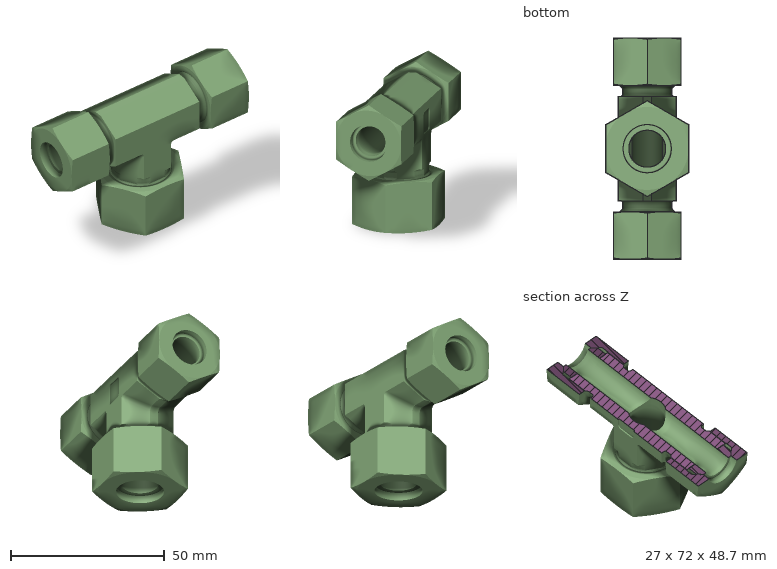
import cadquery as cq
import math


BAR_FLATS = 19.0
BAR_HEIGHT = 20.3
CROTCH_RADIUS = 1.5
SELECTION_MARGIN = 0.7
RELIEF_RADIUS = 0.65
RELIEF_SWEEP = math.radians(45)
RELIEF_RISE = RELIEF_RADIUS * (1 - math.cos(RELIEF_SWEEP))

RECESS_SIZE = 7.3
RECESS_CORNER = 1.15
RECESS_DEPTH = 0.4
RECESS_Z = -1.1

NUT_CHAMFER_ANGLE = 15
PORT_REACH = 36
MOUTH_ANGLE = 30
RING_DEPTH = 2.7

RUN_PORT = dict(
    bore=10.0,
    opening=12.4,
    ring=15.7,
    thread=17.7,
    mouth=18,
    relief=16.0,
    shoulder=17.0,
    thread_start=19.7,
    thread_end=28.1,
    nut_flats=22.0,
    nut_length=15.5,
)
BRANCH_PORT = dict(
    bore=12.0,
    opening=15.7,
    ring=20.0,
    thread=20.8,
    mouth=22.5,
    relief=19.9,
    shoulder=16.0,
    thread_start=18.7,
    thread_end=27.1,
    nut_flats=27.0,
    nut_length=17.1,
)

PORTS = [(RUN_PORT, 90), (RUN_PORT, -90), (BRANCH_PORT, 180)]


def place(body, angle):
    """Turn a body built along +Z to the direction of its port."""
    return body.rotate((0, 0, 0), (1, 0, 0), angle)


def revolve_about_z(profile):
    """Revolve a closed profile drawn as (radius, height) in the XZ plane."""
    return profile.close().revolve(360, (0, 0, 0), (0, 1, 0))


def cylinder(diameter, start, end):
    return cq.Workplane("XY").workplane(offset=start).circle(diameter / 2).extrude(end - start)


def hex_prism(flats, start, end):
    """Hexagonal prism along Z with two of its flats facing +X and -X."""
    return (
        cq.Workplane("XY").workplane(offset=start)
        .polygon(6, flats, circumscribed=True)
        .extrude(end - start)
    )



def tee_bar(port):
    """Bar from the tee centre to the start of the port's thread."""
    bar = hex_prism(BAR_FLATS, 0, port["thread_start"])
    return bar.intersect(cq.Workplane("XY").box(BAR_FLATS, BAR_HEIGHT, 2 * PORT_REACH))


def thread_relief(port):
    """Ring of material turned away between the shoulder and the thread."""
    floor = port["relief"] / 2
    top = port["shoulder"]
    bottom = port["thread_start"]
    clear = BAR_FLATS
    shoulder_arc_middle = (floor + RELIEF_RISE, top + RELIEF_RISE)
    thread_arc_start = bottom - RELIEF_RADIUS * math.sin(RELIEF_SWEEP)
    thread_arc_middle = (
        floor + RELIEF_RADIUS * (1 - math.cos(RELIEF_SWEEP / 2)),
        thread_arc_start + RELIEF_RADIUS * math.sin(RELIEF_SWEEP / 2),
    )
    return revolve_about_z(
        cq.Workplane("XZ")
        .moveTo(clear, top)
        .lineTo(floor + RELIEF_RADIUS, top)
        .threePointArc(shoulder_arc_middle, (floor, top + RELIEF_RADIUS))
        .lineTo(floor, thread_arc_start)
        .threePointArc(thread_arc_middle, (floor + RELIEF_RISE, bottom))
        .lineTo(clear, bottom)
    )


def thread_stub(port):
    """Threaded end as a plain cylinder with a 45 degree lead from the relief."""
    start = port["thread_start"]
    outer = port["thread"] / 2
    inner = port["relief"] / 2 + RELIEF_RISE
    return revolve_about_z(
        cq.Workplane("XZ")
        .moveTo(0, start)
        .lineTo(inner, start)
        .lineTo(outer, start + outer - inner)
        .lineTo(outer, port["thread_end"])
        .lineTo(0, port["thread_end"])
    )


def make_tee():
    tee = cq.Workplane("XY")
    for port, angle in PORTS:
        tee = tee.union(place(tee_bar(port), angle))
    tee = tee.clean()

    half_side = BAR_FLATS / 2 / math.sqrt(3)
    near = half_side - SELECTION_MARGIN
    far = BAR_HEIGHT / 2 + SELECTION_MARGIN
    for y_near, y_far in [(near, far), (-far, -near)]:
        corner = cq.selectors.BoxSelector((-far, y_near, -far), (far, y_far, -near))
        tee = tee.edges(corner).fillet(CROTCH_RADIUS)

    for port, angle in PORTS:
        tee = tee.cut(place(thread_relief(port), angle))
        tee = tee.union(place(thread_stub(port), angle))
    for port, angle in PORTS:
        tee = tee.cut(place(cylinder(port["bore"], 0, PORT_REACH), angle))

    recess = (
        cq.Workplane("XY")
        .box(2 * RECESS_DEPTH, RECESS_SIZE, RECESS_SIZE)
        .edges("|X").fillet(RECESS_CORNER)
        .translate((-BAR_FLATS / 2, 0, RECESS_Z))
    )
    return tee.cut(recess)



def ring_cone_end(port):
    """Height where the 45 degree back of the ring reaches its largest diameter."""
    return PORT_REACH - RING_DEPTH - (port["ring"] - port["opening"]) / 2


def make_ring(port):
    """Ring between the end of the tee and the nut."""
    return revolve_about_z(
        cq.Workplane("XZ")
        .moveTo(port["bore"] / 2, port["thread_end"])
        .lineTo(port["ring"] / 2, port["thread_end"])
        .lineTo(port["ring"] / 2, ring_cone_end(port))
        .lineTo(port["opening"] / 2, PORT_REACH - RING_DEPTH)
        .lineTo(port["bore"] / 2, PORT_REACH - RING_DEPTH)
    )


def nut_chamfer_envelope(port):
    """Revolved shape that trims the corners at both ends of the nut."""
    face_radius = port["nut_flats"] / 2
    clear = port["nut_flats"]
    drop = (clear - face_radius) * math.tan(math.radians(NUT_CHAMFER_ANGLE))
    base = PORT_REACH - port["nut_length"]
    return revolve_about_z(
        cq.Workplane("XZ")
        .moveTo(0, base)
        .lineTo(face_radius, base)
        .lineTo(clear, base + drop)
        .lineTo(clear, PORT_REACH - drop)
        .lineTo(face_radius, PORT_REACH)
        .lineTo(0, PORT_REACH)
    )


def nut_cavity(port):
    """Thread hole with its countersink, 45 degree seat for the ring, and opening."""
    thread_radius = port["thread"] / 2
    opening_radius = port["opening"] / 2
    mouth_radius = port["mouth"] / 2
    base = PORT_REACH - port["nut_length"]
    mouth_depth = (mouth_radius - thread_radius) * math.tan(math.radians(MOUTH_ANGLE))
    seat_end = PORT_REACH - RING_DEPTH
    return revolve_about_z(
        cq.Workplane("XZ")
        .moveTo(0, base)
        .lineTo(mouth_radius, base)
        .lineTo(thread_radius, base + mouth_depth)
        .lineTo(thread_radius, seat_end - thread_radius + opening_radius)
        .lineTo(opening_radius, seat_end)
        .lineTo(opening_radius, PORT_REACH)
        .lineTo(0, PORT_REACH)
    )


def make_nut(port):
    nut = hex_prism(port["nut_flats"], PORT_REACH - port["nut_length"], PORT_REACH)
    return nut.intersect(nut_chamfer_envelope(port)).cut(nut_cavity(port))



tee = make_tee()
rings = [place(make_ring(port), angle) for port, angle in PORTS]
nuts = [place(make_nut(port), angle) for port, angle in PORTS]

result = cq.Compound.makeCompound(
    [tee.val()] + [ring.val() for ring in rings] + [nut.val() for nut in nuts]
)